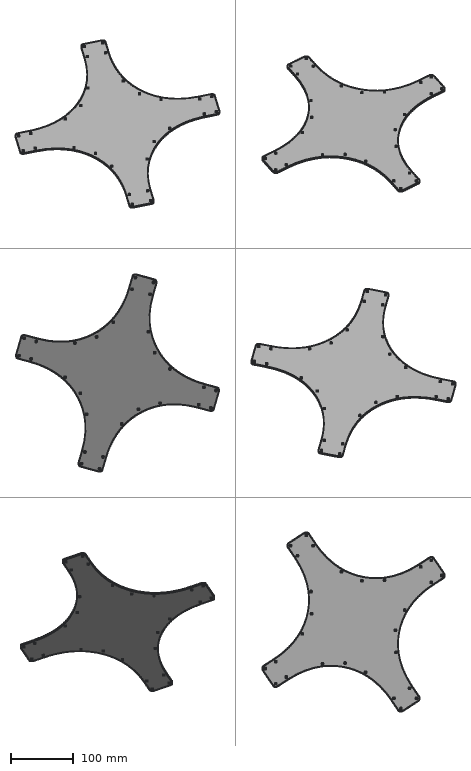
import cadquery as cq
import math

span = 256.0
thickness = 3.0
arm_half_width = 20.0
corner_radius = 5.0
waist = 74.8

hole_diameter = 3.0
hole_pitch = 20.0
side_hole_reach = 68.0
flank_hole_reach = 76.3
flank_hole_offset = 35.0

arm_hole_offset = arm_half_width - corner_radius
outer_row = (span / 2 - corner_radius) * math.sqrt(2) - arm_hole_offset
inner_row = outer_row - hole_pitch
arm_tip = outer_row + corner_radius

side_angles = [0, 90, 180, 270]


def turn(point, angle):
    """Rotate a point about the plate centre by an angle in degrees."""
    x, y = point
    a = math.radians(angle)
    return (x * math.cos(a) - y * math.sin(a), x * math.sin(a) + y * math.cos(a))


def make_plate():
    """Four diagonal arms joined by smooth concave sides."""
    side_start = turn((inner_row, -arm_half_width), 45)
    tip_start = turn((arm_tip, -arm_half_width), 45)
    tip_end = turn((arm_tip, arm_half_width), 45)
    side_end = turn((inner_row, arm_half_width), 45)
    outline = cq.Workplane("XY").moveTo(*side_start)
    for angle in side_angles:
        outline = outline.lineTo(*turn(tip_start, angle))
        outline = outline.lineTo(*turn(tip_end, angle))
        outline = outline.lineTo(*turn(side_end, angle))
        outline = outline.spline(
            [turn((0, waist), angle), turn(side_start, angle + 90)],
            tangents=[turn((-1, -1), angle), turn((-1, 1), angle)],
            includeCurrent=True,
        )
    return outline.close().extrude(thickness)


def round_arm_corners(plate):
    """Round the two outer corners of every arm."""
    for angle in side_angles:
        for offset in (-arm_half_width, arm_half_width):
            corner = turn((arm_tip, offset), 45 + angle)
            edge = cq.selectors.NearestToPointSelector((*corner, thickness / 2))
            plate = plate.edges("|Z").edges(edge).fillet(corner_radius)
    return plate


def hole_centres():
    """Four holes on each arm and three along each concave side."""
    centres = []
    for angle in side_angles:
        for offset in (-arm_hole_offset, arm_hole_offset):
            for row in (inner_row, outer_row):
                centres.append(turn((row, offset), 45 + angle))
        for offset in (-flank_hole_offset, flank_hole_offset):
            centres.append(turn((flank_hole_reach, offset), angle))
        centres.append(turn((side_hole_reach, 0), angle))
    return centres


plate = round_arm_corners(make_plate())
holes = cq.Workplane("XY").pushPoints(hole_centres()).circle(hole_diameter / 2).extrude(thickness)
result = plate.cut(holes)